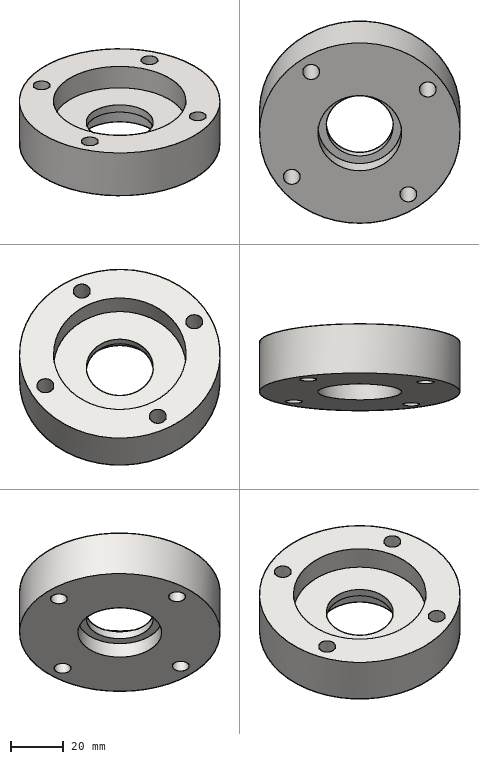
import cadquery as cq

outer_diameter = 76.2
thickness = 19.05

pocket_diameter = 50.3
pocket_depth = 9.5
bore_diameter = 25.4
bore_length = 3.2
rear_recess_diameter = 31.8
rear_recess_depth = thickness - pocket_depth - bore_length

hole_count = 4
hole_diameter = 6.3
bolt_circle_diameter = 63.5


def cylinder(diameter, bottom, height):
    """Upright cylinder centred on the part axis."""
    return cq.Workplane("XY").workplane(offset=bottom).circle(diameter / 2).extrude(height)


def mounting_holes():
    """Through holes evenly spaced on the bolt circle."""
    return (
        cq.Workplane("XY")
        .polarArray(bolt_circle_diameter / 2, 0, 360, hole_count)
        .circle(hole_diameter / 2)
        .extrude(thickness)
    )


body = cylinder(outer_diameter, 0, thickness)
bore = cylinder(bore_diameter, 0, thickness)
pocket = cylinder(pocket_diameter, thickness - pocket_depth, pocket_depth)
rear_recess = cylinder(rear_recess_diameter, 0, rear_recess_depth)

result = body.cut(bore).cut(pocket).cut(rear_recess).cut(mounting_holes())